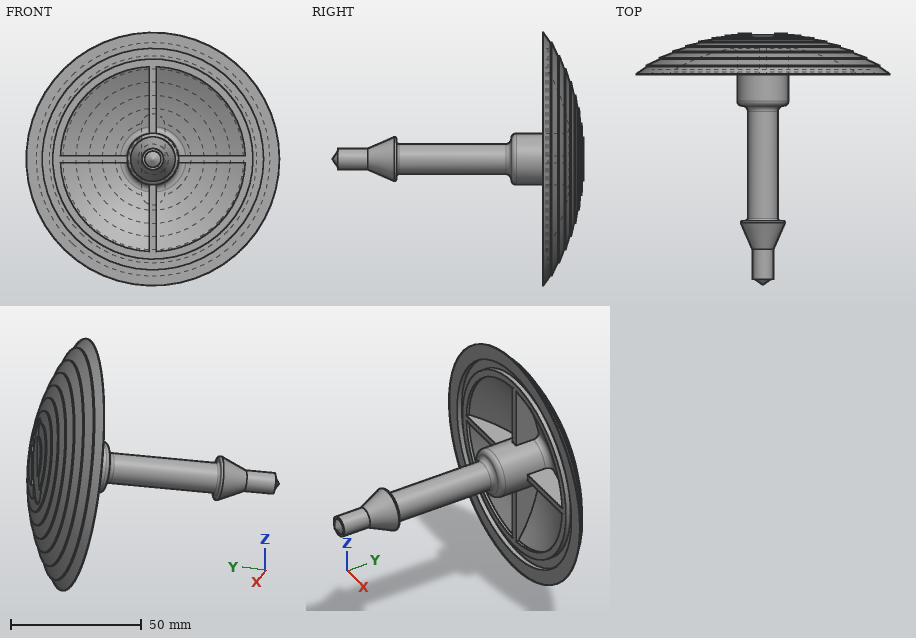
import cadquery as cq
import math


rim_radius = 48.5
rim_edge = 0.3
top_height = 15.8
lip_sphere_radius = 84.5
lip_height = 0.6
lip_pitch = 5.0
lip_count = 8
outer_lip_radius = 44.8
inner_lip_radius = outer_lip_radius - (lip_count - 1) * lip_pitch

strip_width = 8.9
strip_length = 34.95
strip_apex = 15.5

dish_radius = 35.4
dish_wall = 1.2
dish_depth = 11.3
groove_outer_radius = 42.4
groove_inner_radius = 38.3
groove_depth = 2.0
rib_thickness = 2.6
root_fillet = 2.2

shank_radius = 5.8
boss_fillet = 2.0
boss_radius = shank_radius + 2 * boss_fillet
boss_length = 12.0
barb_start = 55.9
barb_radius = 8.5
barb_fillet = 0.9
barb_end = 67.0
tail_radius = 4.1
tail_end = 78.4
tip_radius = 3.1
tip_end = 80.6


def sphere_drop(radius):
    """Fall of the sphere through the lip edges, from its apex to a distance from the axis."""
    return lip_sphere_radius - math.sqrt(lip_sphere_radius**2 - radius**2)


def turn(profile):
    """Turn a closed XY profile a full revolution about the Y axis."""
    return profile.close().revolve(360, (0, 0, 0), (0, 1, 0))


def make_dome():
    """Solid dome whose outside climbs in low cylindrical lips to a flat crown."""
    sphere_apex = top_height + sphere_drop(inner_lip_radius)
    profile = cq.Workplane("XY").lineTo(rim_radius, 0).lineTo(rim_radius, rim_edge)
    for index in range(lip_count):
        radius = outer_lip_radius - index * lip_pitch
        lip_top = sphere_apex - sphere_drop(radius)
        profile = profile.lineTo(radius, lip_top - lip_height).lineTo(radius, lip_top)
    return turn(profile.lineTo(0, top_height))


def make_strip():
    """Round-ended strip along Z that removes everything above a smooth sphere."""
    outline = cq.Workplane("XZ").slot2D(strip_length, strip_width, 90)
    floor = cq.Workplane("XY").sphere(lip_sphere_radius)
    floor_centre = strip_apex - lip_sphere_radius
    return outline.extrude(-top_height).cut(floor.translate((0, floor_centre, 0)))


def make_dish():
    """Ring hollow around the boss: straight wall, spherical roof, fillet at the boss root."""
    roof_rise = dish_depth - dish_wall
    roof_sphere_radius = (dish_radius**2 + roof_rise**2) / (2 * roof_rise)
    roof_centre = dish_depth - roof_sphere_radius

    fillet_reach = roof_sphere_radius - root_fillet
    fillet_x = boss_radius + root_fillet
    fillet_rise = math.sqrt(fillet_reach**2 - fillet_x**2)
    fillet_y = roof_centre + fillet_rise
    roof_angle = math.atan2(fillet_rise, fillet_x)
    wall_angle = math.atan2(dish_wall - roof_centre, dish_radius)
    fillet_mid_angle = (roof_angle + math.pi) / 2
    roof_mid_angle = (roof_angle + wall_angle) / 2

    def on_roof(angle):
        """Point on the spherical roof at an angle above the X axis."""
        return (
            roof_sphere_radius * math.cos(angle),
            roof_centre + roof_sphere_radius * math.sin(angle),
        )

    fillet_middle = (
        fillet_x + root_fillet * math.cos(fillet_mid_angle),
        fillet_y + root_fillet * math.sin(fillet_mid_angle),
    )
    return turn(
        cq.Workplane("XY")
        .moveTo(boss_radius, 0)
        .lineTo(dish_radius, 0)
        .lineTo(dish_radius, dish_wall)
        .threePointArc(on_roof(roof_mid_angle), on_roof(roof_angle))
        .threePointArc(fillet_middle, (boss_radius, fillet_y))
    )


def make_groove():
    """Ring groove in the underside, between the rim and the dish."""
    ring = cq.Workplane("XZ").circle(groove_outer_radius).circle(groove_inner_radius)
    return ring.extrude(-groove_depth)


def make_ribs():
    """Cross of two flat ribs across the dish, flush with the rim plane."""
    rib_along_x = cq.Workplane("XZ").rect(2 * dish_radius, rib_thickness)
    rib_along_z = cq.Workplane("XZ").rect(rib_thickness, 2 * dish_radius)
    return rib_along_x.extrude(-dish_depth).union(rib_along_z.extrude(-dish_depth))


def quarter_arc(profile, centre, radius, middle_angle, end):
    """Add a quarter arc to a profile; the middle angle is in degrees from +X."""
    angle = math.radians(middle_angle)
    middle = (centre[0] + radius * math.cos(angle), centre[1] + radius * math.sin(angle))
    return profile.threePointArc(middle, end)


def make_plug():
    """Boss shoulder, shank, barb and pointed tail below the rim plane."""
    bend_radius = shank_radius + boss_fillet
    bend_start = -boss_length + boss_fillet
    bend_end = -boss_length - boss_fillet
    profile = cq.Workplane("XY").lineTo(boss_radius, 0).lineTo(boss_radius, bend_start)
    profile = quarter_arc(profile, (bend_radius, bend_start), boss_fillet, -45, (bend_radius, -boss_length))
    profile = quarter_arc(profile, (bend_radius, bend_end), boss_fillet, 135, (shank_radius, bend_end))

    root_x = shank_radius + barb_fillet
    root_y = -barb_start + barb_fillet
    edge_x = barb_radius - barb_fillet
    edge_y = -barb_start - barb_fillet
    profile = profile.lineTo(shank_radius, root_y)
    profile = quarter_arc(profile, (root_x, root_y), barb_fillet, -135, (root_x, -barb_start))
    profile = profile.lineTo(edge_x, -barb_start)
    profile = quarter_arc(profile, (edge_x, edge_y), barb_fillet, 45, (barb_radius, edge_y))

    return turn(
        profile.lineTo(tail_radius, -barb_end)
        .lineTo(tail_radius, -tail_end)
        .lineTo(tip_radius, -tail_end)
        .lineTo(0, -tip_end)
    )


hollow = make_dish().cut(make_ribs())
result = make_dome().cut(make_strip()).cut(hollow).cut(make_groove()).union(make_plug())